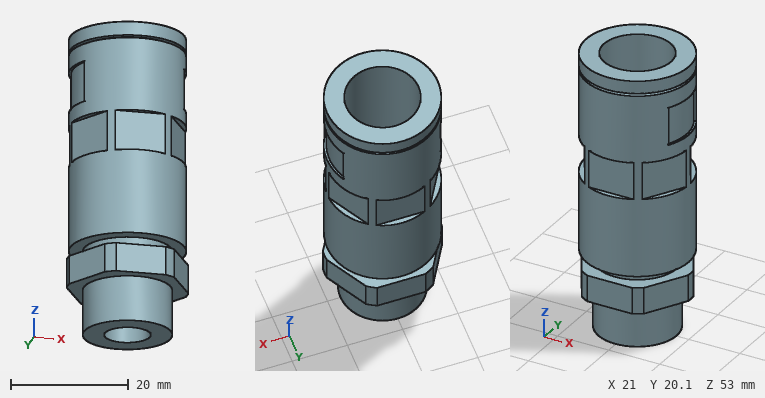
import cadquery as cq
import math

nut_bottom = 8.0
nut_top = 13.05
sleeve_bottom = 15.0
upper_hex_bottom = 30.0
body_bottom = 37.1
recess_bottom = 39.75
recess_top = 47.0
groove_bottom = 50.1
groove_top = 50.55
overall_height = 53.0

body_diameter = 20.05
groove_diameter = 18.0
neck_diameter = 15.25
upper_hex_flats = 18.0
nut_flats = 19.1
nut_corners = 21.0
recess_width = 9.55
recess_floor_diameter = 19.2
upper_bore_diameter = 13.05
through_bore_diameter = 7.95


def cylinder(diameter, bottom, top):
    return cq.Workplane("XY").workplane(offset=bottom).circle(diameter / 2).extrude(top - bottom)


def rounded_hexagon(across_flats, corner_diameter, bottom, top):
    """Hexagon with corners on the X axis, turned down to corner_diameter."""
    sharp_corners = across_flats / math.cos(math.pi / 6)
    hexagon = cq.Workplane("XY").workplane(offset=bottom).polygon(6, sharp_corners).extrude(top - bottom)
    return hexagon.intersect(cylinder(corner_diameter, bottom, top))


def side_recesses():
    """Shallow curved recesses on the -X and +X sides of the body."""
    height = recess_top - recess_bottom
    band = (
        cq.Workplane("XY")
        .workplane(offset=recess_bottom)
        .rect(2 * body_diameter, recess_width)
        .extrude(height)
    )
    return band.cut(cylinder(recess_floor_diameter, recess_bottom, recess_top))


neck = cylinder(neck_diameter, 0, sleeve_bottom)
nut = rounded_hexagon(nut_flats, nut_corners, nut_bottom, nut_top)
sleeve = cylinder(body_diameter, sleeve_bottom, upper_hex_bottom)
upper_hex = rounded_hexagon(upper_hex_flats, body_diameter, upper_hex_bottom, body_bottom)
body = cylinder(body_diameter, body_bottom, groove_bottom).cut(side_recesses())
groove = cylinder(groove_diameter, groove_bottom, groove_top)
cap = cylinder(body_diameter, groove_top, overall_height)
outer = neck.union(nut).union(sleeve).union(upper_hex).union(body).union(groove).union(cap)

wide_bore = cylinder(upper_bore_diameter, upper_hex_bottom, overall_height)
through_bore = cylinder(through_bore_diameter, 0, overall_height)
result = outer.cut(wide_bore).cut(through_bore)